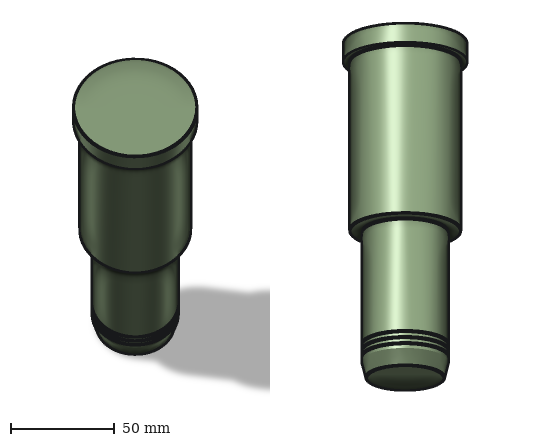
import cadquery as cq

total_height = 171.0
head_height = 10.0
shank_bottom = 74.9
taper_height = 8.2

head_radius = 60.0 / 2
shank_radius = 54.0 / 2
pin_radius = 42.0 / 2
tip_radius = 19.2

head_chamfer = 0.5
shank_chamfer = 0.5
tip_chamfer_width = 0.7
tip_chamfer_height = 0.5

neck_height = 1.0
neck_depth = 0.3

groove_count = 3
groove_pitch = 3.0
groove_width = 1.0
groove_depth = 0.25
lowest_groove_center = 10.8


def cylinder(radius, bottom, top):
    """Solid cylinder on the Z axis between two heights."""
    return cq.Workplane("XY").workplane(offset=bottom).circle(radius).extrude(top - bottom)


def ring_cut(outer_radius, depth, bottom, height):
    """Ring that removes the given depth from a cylinder's surface."""
    top = bottom + height
    return cylinder(outer_radius, bottom, top).cut(cylinder(outer_radius - depth, bottom, top))


def v_groove_cut(outer_radius, depth, center, width):
    """Triangular ring whose point reaches the given depth into a cylinder's surface."""
    return (
        cq.Workplane("XZ")
        .moveTo(outer_radius, center - width / 2)
        .lineTo(outer_radius - depth, center)
        .lineTo(outer_radius, center + width / 2)
        .close()
        .revolve(360, (0, 0, 0), (0, 1, 0))
    )


def tapered_tip():
    """Cone below the pin, with a chamfer around its flat end."""
    return (
        cq.Workplane("XZ")
        .moveTo(0, 0)
        .lineTo(tip_radius - tip_chamfer_width, 0)
        .lineTo(tip_radius, tip_chamfer_height)
        .lineTo(pin_radius, taper_height)
        .lineTo(0, taper_height)
        .close()
        .revolve(360, (0, 0, 0), (0, 1, 0))
    )


head_bottom = total_height - head_height

head = cylinder(head_radius, head_bottom, total_height).faces(">Z").edges().chamfer(head_chamfer)

shank = cylinder(shank_radius, shank_bottom, head_bottom).faces("<Z").edges().chamfer(shank_chamfer)
shank = shank.cut(v_groove_cut(shank_radius, neck_depth, head_bottom - neck_height / 2, neck_height))

pin = cylinder(pin_radius, taper_height, shank_bottom)
pin = pin.cut(ring_cut(pin_radius, neck_depth, shank_bottom - neck_height, neck_height))
for index in range(groove_count):
    groove_center = lowest_groove_center + index * groove_pitch
    pin = pin.cut(v_groove_cut(pin_radius, groove_depth, groove_center, groove_width))

result = head.union(shank).union(pin).union(tapered_tip())